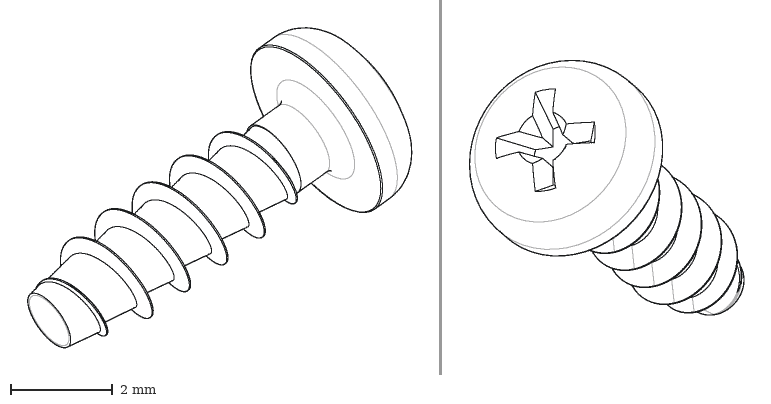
import cadquery as cq
import math

LENGTH = 8.47

HEAD_RADIUS = 1.95
HEAD_UNDERSIDE_Y = 7.005
RIM_TOP_Y = 7.42
RIM_CHAMFER = 0.025
CROWN_EDGE_RADIUS = 1.62
CROWN_EDGE_Y = 8.09

RECESS_CORE_RADIUS = 0.55
RECESS_MOUTH_RADIUS = 1.07
RECESS_MOUTH_DROP = 0.135
RECESS_DEPTH = 1.02
RECESS_CLEARANCE = 0.17
RECESS_WING_WIDTH = 0.43
RECESS_HALF_ANGLE = 26.5

SHANK_RADIUS = 0.805
SHANK_END_Y = 5.9
NECK_FILLET = 0.35

CORE_RADIUS = 0.66
ROOT_RADIUS = 0.78
TIP_RADIUS = 0.635
TIP_SLOPE = 0.17
TIP_DISH_RADIUS = 0.585
TIP_DISH_DEPTH = 0.04
BORE_RADIUS = 0.25
FILLER_RADIUS = 0.42
FILLER_REACH = LENGTH

PITCH = 0.98
TURN_ZERO_Y = 4.67
CREST_RADIUS = 1.11
CREST_WIDTH = 0.03
HEAD_SIDE_BASE = 0.14
POINT_SIDE_BASE = 0.13
FADED_BASE_SHARE = 0.3

SHELL_START = -2.25
SHELL_TURNS = 8
CREST_RISE_START = -1.75
CREST_RISE_END = -0.25
CREST_FADE_START = 3.25
CREST_FADE_END = 4.6
RISE_CREST_RADIUS = 0.805
FADED_CREST_RADIUS = 0.65
RELIEF_END = -0.5
FOOT_RELIEF = 0.2
ROOT_RELIEF = 0.42
POINTS_PER_TURN = 16


def revolve_about_axis(profile):
    return profile.close().revolve(360, (0, 0, 0), (0, 1, 0))


def ramp(turn, start, end, start_value, end_value):
    return start_value + (end_value - start_value) * (turn - start) / (end - start)


def tip_cone_radius(y):
    return TIP_RADIUS + TIP_SLOPE * y


def crest_radius(turn):
    """Crest radius: rising from the shank, constant, then fading out at the point."""
    if turn < CREST_RISE_END:
        return ramp(turn, CREST_RISE_START, CREST_RISE_END, RISE_CREST_RADIUS, CREST_RADIUS)
    if turn > CREST_FADE_START:
        return ramp(turn, CREST_FADE_START, CREST_FADE_END, CREST_RADIUS, FADED_CREST_RADIUS)
    return CREST_RADIUS


def thread_corners(turn):
    """(radius, y) of the bore, head-side foot, two crest corners and point-side foot."""
    crest = crest_radius(turn)
    height_share = max(0, (crest - CORE_RADIUS) / (CREST_RADIUS - CORE_RADIUS))
    base_share = FADED_BASE_SHARE + (1 - FADED_BASE_SHARE) * height_share
    foot = CORE_RADIUS + FOOT_RELIEF * max(0, RELIEF_END - turn)
    root = ROOT_RADIUS + ROOT_RELIEF * max(0, RELIEF_END - 1 - turn)

    y = TURN_ZERO_Y - PITCH * turn
    foot_y = y + HEAD_SIDE_BASE * base_share
    crest_start_y = y + CREST_WIDTH / 2
    crest_end_y = y - CREST_WIDTH / 2
    root_y = y - POINT_SIDE_BASE * base_share

    crest_start = crest_end = crest
    if turn > CREST_FADE_START:
        foot = min(foot, tip_cone_radius(foot_y))
        crest_start = max(crest, tip_cone_radius(crest_start_y))
        crest_end = max(crest, tip_cone_radius(crest_end_y))
        root = min(root, tip_cone_radius(root_y))
    return [
        (BORE_RADIUS, foot_y),
        (foot, foot_y),
        (crest_start, crest_start_y),
        (crest_end, crest_end_y),
        (root, root_y),
    ]


def thread_points(turn):
    angle = 2 * math.pi * turn
    return [cq.Vector(r * math.cos(angle), y, r * math.sin(angle)) for r, y in thread_corners(turn)]


def one_turn_edges(start):
    """Curves that the thread corners follow during the turn that begins at start."""
    turns = [start + i / POINTS_PER_TURN for i in range(POINTS_PER_TURN + 1)]
    return [cq.Edge.makeSpline(list(track)) for track in zip(*map(thread_points, turns))]


def end_cap(turn):
    """Flat face across one turn of the shell, in the plane through the axis."""
    next_bore, next_foot = thread_points(turn + 1)[:2]
    return cq.Face.makeFromWires(
        cq.Wire.makePolygon(thread_points(turn) + [next_foot, next_bore], close=True)
    )


def make_helical_shell():
    """Threaded core around a bore: each turn's land ends at the foot of the next turn."""
    shell_end = SHELL_START + SHELL_TURNS
    turns = [one_turn_edges(SHELL_START + i) for i in range(SHELL_TURNS + 1)]
    faces = [end_cap(SHELL_START), end_cap(shell_end)]
    for bore, foot, *_ in (turns[0], turns[-1]):
        faces.append(cq.Face.makeRuledSurface(bore, foot))
    for edges, next_edges in zip(turns, turns[1:]):
        bore, *outline = edges
        next_bore, next_foot, *_ = next_edges
        outline.append(next_foot)
        faces.append(cq.Face.makeRuledSurface(bore, next_bore))
        for upper, lower in zip(outline, outline[1:]):
            faces.append(cq.Face.makeRuledSurface(upper, lower))
    solid = cq.Solid.makeSolid(cq.Shell.makeShell(faces)).fix()
    return cq.Workplane(obj=solid)


def make_threaded_length():
    """Helical shell with its bore filled, cut square at the shank and at the dished point."""
    zone = cq.Workplane("XZ").circle(HEAD_RADIUS).extrude(-SHANK_END_Y)
    filler = cq.Workplane("XZ").circle(FILLER_RADIUS).extrude(FILLER_REACH, both=True)
    dish = revolve_about_axis(
        cq.Workplane("XY").lineTo(TIP_DISH_RADIUS, 0).lineTo(0, TIP_DISH_DEPTH)
    )
    return make_helical_shell().union(filler).intersect(zone).cut(dish)


def make_head_and_shank():
    """Solid of revolution from the crown down to the end of the shank."""
    shoulder_width = HEAD_RADIUS - CROWN_EDGE_RADIUS
    shoulder_height = CROWN_EDGE_Y - RIM_TOP_Y
    shoulder_radius = (shoulder_width**2 + shoulder_height**2) / (2 * shoulder_width)
    shoulder_half_angle = math.asin(shoulder_height / shoulder_radius) / 2
    shoulder_middle = (
        HEAD_RADIUS - shoulder_radius * (1 - math.cos(shoulder_half_angle)),
        RIM_TOP_Y + shoulder_radius * math.sin(shoulder_half_angle),
    )

    crown_rise = LENGTH - CROWN_EDGE_Y
    crown_center_drop = (CROWN_EDGE_RADIUS**2 - RECESS_CORE_RADIUS**2 - crown_rise**2) / (2 * crown_rise)
    crown_center_y = CROWN_EDGE_Y - crown_center_drop
    crown_radius = math.hypot(CROWN_EDGE_RADIUS, crown_center_drop)
    crown_middle_radius = (CROWN_EDGE_RADIUS + RECESS_CORE_RADIUS) / 2
    crown_middle = (
        crown_middle_radius,
        crown_center_y + math.sqrt(crown_radius**2 - crown_middle_radius**2),
    )

    fillet_chord = NECK_FILLET * (1 - math.sqrt(0.5))
    fillet_middle = (SHANK_RADIUS + fillet_chord, HEAD_UNDERSIDE_Y - fillet_chord)

    return revolve_about_axis(
        cq.Workplane("XY")
        .moveTo(0, SHANK_END_Y)
        .lineTo(SHANK_RADIUS, SHANK_END_Y)
        .lineTo(SHANK_RADIUS, HEAD_UNDERSIDE_Y - NECK_FILLET)
        .threePointArc(fillet_middle, (SHANK_RADIUS + NECK_FILLET, HEAD_UNDERSIDE_Y))
        .lineTo(HEAD_RADIUS - RIM_CHAMFER, HEAD_UNDERSIDE_Y)
        .lineTo(HEAD_RADIUS, HEAD_UNDERSIDE_Y + RIM_CHAMFER)
        .lineTo(HEAD_RADIUS, RIM_TOP_Y)
        .threePointArc(shoulder_middle, (CROWN_EDGE_RADIUS, CROWN_EDGE_Y))
        .threePointArc(crown_middle, (RECESS_CORE_RADIUS, LENGTH))
        .lineTo(0, LENGTH)
    )


def recess_cone(mouth_radius, mouth_y):
    """Cone narrowing into the head, with the given radius at mouth_y, open above the crown."""
    floor_y = LENGTH - RECESS_DEPTH
    top_y = LENGTH + RECESS_CLEARANCE
    slope = math.tan(math.radians(RECESS_HALF_ANGLE))
    return revolve_about_axis(
        cq.Workplane("XY")
        .moveTo(0, floor_y)
        .lineTo(mouth_radius - slope * (mouth_y - floor_y), floor_y)
        .lineTo(mouth_radius + slope * (top_y - mouth_y), top_y)
        .lineTo(0, top_y)
    )


def make_recess():
    """Cross recess: a conical core with four wings along X and Z."""
    wing_y = LENGTH - RECESS_DEPTH / 2
    wing_height = 2 * RECESS_DEPTH
    wing = cq.Workplane().box(2 * HEAD_RADIUS, wing_height, RECESS_WING_WIDTH)
    cross = wing.union(wing.rotate((0, 0, 0), (0, 1, 0), 90)).translate((0, wing_y, 0))
    wings = cross.intersect(recess_cone(RECESS_MOUTH_RADIUS, LENGTH - RECESS_MOUTH_DROP))
    return wings.union(recess_cone(RECESS_CORE_RADIUS, LENGTH))


head_and_shank = make_head_and_shank().cut(make_recess())
result = head_and_shank.union(make_threaded_length())